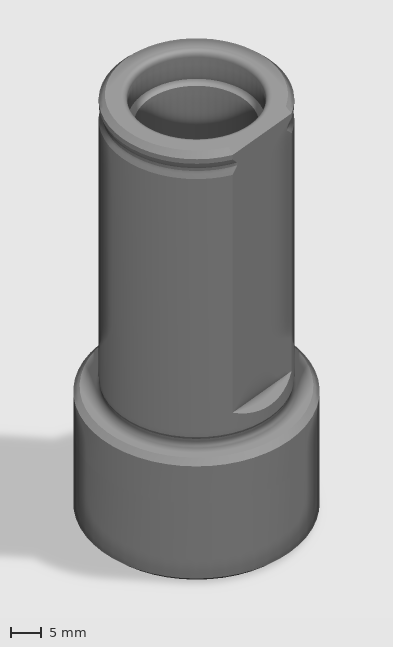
import cadquery as cq
import math

total_height = 85.0
base_radius = 40.0 / 2
base_height = 25.1
base_seam_height = 16.4
sleeve_radius = 31.8 / 2
edge_chamfer = 1.0

neck_radius = 31.4 / 2
neck_fillet = 0.8
neck_straight = 0.5
neck_taper = 0.5

groove_top_depth = 1.95
groove_upper_taper = 1.3
groove_floor_width = 0.6
groove_lower_taper = 1.3
groove_floor_radius = 15.4

bore_radius = 20.4 / 2
recess_radius = 22.5 / 2
recess_depth = 5.5
recess_floor_angle = 30.0
mouth_fillet = 1.0

flat_offset = 14.1
flat_bottom = 31.0


def make_base():
    """Two stacked rings, so that a seam line runs around the base."""
    lower = cq.Workplane("XY").circle(base_radius).extrude(base_seam_height)
    lower = lower.faces("<Z").edges().chamfer(edge_chamfer)
    upper_height = base_height - base_seam_height
    upper = cq.Workplane("XY").workplane(offset=base_seam_height).circle(base_radius).extrude(upper_height)
    upper = upper.faces(">Z").edges().chamfer(edge_chamfer)
    return lower.union(upper, clean=False)


def make_sleeve():
    """Plain sleeve with the flat, its sloping run-out and the chamfered top rim."""
    sleeve = cq.Workplane("XY").circle(sleeve_radius).extrude(total_height)
    cut_depth = sleeve_radius
    flat_cut = (
        cq.Workplane("XZ")
        .moveTo(flat_offset, total_height)
        .lineTo(flat_offset, flat_bottom)
        .lineTo(flat_offset + cut_depth, flat_bottom - cut_depth)
        .lineTo(flat_offset + cut_depth, total_height)
        .close()
        .extrude(sleeve_radius, both=True)
    )
    return sleeve.cut(flat_cut).faces(">Z").edges().chamfer(edge_chamfer)


def make_groove():
    """Ring that cuts the tapered groove below the top rim."""
    top = total_height - groove_top_depth
    floor_top = top - groove_upper_taper
    floor_bottom = floor_top - groove_floor_width
    bottom = floor_bottom - groove_lower_taper
    profile = (
        cq.Workplane("XZ")
        .moveTo(sleeve_radius, top)
        .lineTo(groove_floor_radius, floor_top)
        .lineTo(groove_floor_radius, floor_bottom)
        .lineTo(sleeve_radius, bottom)
        .close()
    )
    return profile.revolve(360, (0, 0, 0), (0, 1, 0))


def make_neck_cut():
    """Ring that cuts the undercut, leaving a concave fillet onto the base."""
    straight_bottom = base_height + neck_fillet
    straight_top = straight_bottom + neck_straight
    arc_offset = neck_fillet * (1 - math.sqrt(0.5))
    fillet_outer = neck_radius + neck_fillet
    profile = (
        cq.Workplane("XZ")
        .moveTo(fillet_outer, base_height)
        .threePointArc(
            (neck_radius + arc_offset, base_height + arc_offset),
            (neck_radius, straight_bottom),
        )
        .lineTo(neck_radius, straight_top)
        .lineTo(sleeve_radius, straight_top + neck_taper)
        .lineTo(fillet_outer, straight_top + neck_taper)
        .close()
    )
    return profile.revolve(360, (0, 0, 0), (0, 1, 0))


def make_neck_stock():
    """Solid collar from which the neck fillet is formed."""
    collar = cq.Workplane("XY").workplane(offset=base_height)
    return collar.circle(neck_radius + neck_fillet).extrude(neck_fillet)


def make_bore():
    """Through bore, with the recess, its conical floor and its rounded mouth."""
    floor_outer = total_height - recess_depth
    cone_height = (recess_radius - bore_radius) * math.tan(math.radians(recess_floor_angle))
    floor_inner = floor_outer - cone_height
    mouth_bottom = total_height - mouth_fillet
    arc_offset = mouth_fillet * (1 - math.sqrt(0.5))
    profile = (
        cq.Workplane("XZ")
        .lineTo(bore_radius, 0)
        .lineTo(bore_radius, floor_inner)
        .lineTo(recess_radius, floor_outer)
        .lineTo(recess_radius, mouth_bottom)
        .threePointArc(
            (recess_radius + arc_offset, total_height - arc_offset),
            (recess_radius + mouth_fillet, total_height),
        )
        .lineTo(0, total_height)
        .close()
    )
    return profile.revolve(360, (0, 0, 0), (0, 1, 0))


result = make_base()
result = result.union(make_sleeve(), clean=False)
result = result.union(make_neck_stock(), clean=False)
for cutter in (make_neck_cut(), make_groove(), make_bore()):
    result = result.cut(cutter, clean=False)